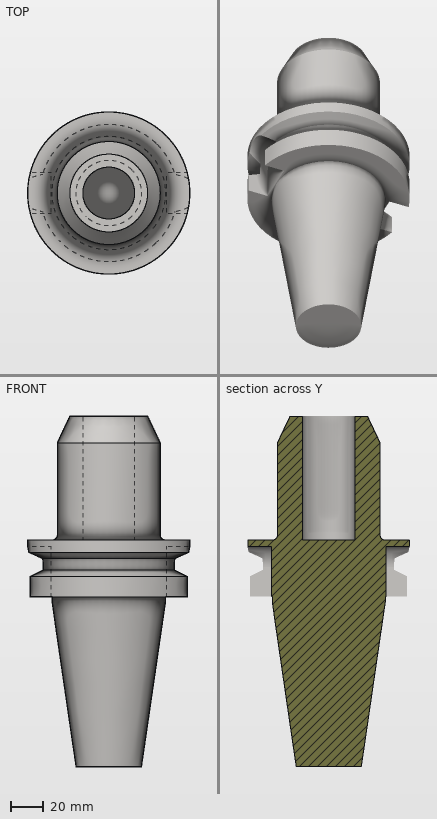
import cadquery as cq
import math

total_length = 216.0

taper_length = 101.8
taper_top_radius = 35.0
taper_ratio = 7 / 24
taper_bottom_radius = taper_top_radius - taper_length * taper_ratio / 2
neck_height = 3.0

flange_diameter = 100.0
flange_radius = flange_diameter / 2
flange_bottom = taper_length + neck_height
flange_height = 35.0
flange_top = flange_bottom + flange_height
groove_radius = 42.4
groove_flank_height = 3.9
groove_floor_height = 7.1
groove_bottom = flange_bottom + 12.5
groove_floor_bottom = groove_bottom + groove_flank_height
groove_floor_top = groove_floor_bottom + groove_floor_height
groove_top = groove_floor_top + groove_flank_height

nose_radius = 31.8
nose_fillet = 3.0
nose_tip_radius = 24.0
nose_cone_height = 16.5
bore_radius = 16.0
bore_depth = total_length - flange_top

slot_width = 25.5
slot_height = 31.0
slot_floor_distance = 35.5


def make_body():
    """Revolve the half outline of taper, flange and nose about Z."""
    fillet_center_radius = nose_radius + nose_fillet
    fillet_center_height = flange_top + nose_fillet
    fillet_offset = nose_fillet * math.sqrt(0.5)
    fillet_middle = (fillet_center_radius - fillet_offset, fillet_center_height - fillet_offset)
    return (
        cq.Workplane("XZ")
        .lineTo(taper_bottom_radius, 0)
        .lineTo(taper_top_radius, taper_length)
        .lineTo(taper_top_radius, flange_bottom)
        .lineTo(flange_radius, flange_bottom)
        .lineTo(flange_radius, groove_bottom)
        .lineTo(groove_radius, groove_floor_bottom)
        .lineTo(groove_radius, groove_floor_top)
        .lineTo(flange_radius, groove_top)
        .lineTo(flange_radius, flange_top)
        .lineTo(fillet_center_radius, flange_top)
        .threePointArc(fillet_middle, (nose_radius, fillet_center_height))
        .lineTo(nose_radius, total_length - nose_cone_height)
        .lineTo(nose_tip_radius, total_length)
        .lineTo(0, total_length)
        .close()
        .revolve(360, (0, 0, 0), (0, 1, 0))
    )


def make_bore():
    """Blind tool bore, open at the nose tip."""
    return (
        cq.Workplane("XY", origin=(0, 0, total_length - bore_depth))
        .circle(bore_radius)
        .extrude(bore_depth)
    )


def make_drive_slot(side):
    """Slot cutter with a flat floor; side is -1 for -X or +1 for +X."""
    half_width = slot_width / 2
    slot_top = flange_bottom + slot_height
    arc_start = slot_top - half_width
    return (
        cq.Workplane("YZ", origin=(side * slot_floor_distance, 0, 0))
        .moveTo(-half_width, flange_bottom)
        .lineTo(half_width, flange_bottom)
        .lineTo(half_width, arc_start)
        .threePointArc((0, slot_top), (-half_width, arc_start))
        .close()
        .extrude(side * flange_radius)
    )


result = make_body().cut(make_bore())
for side in (-1, 1):
    result = result.cut(make_drive_slot(side))